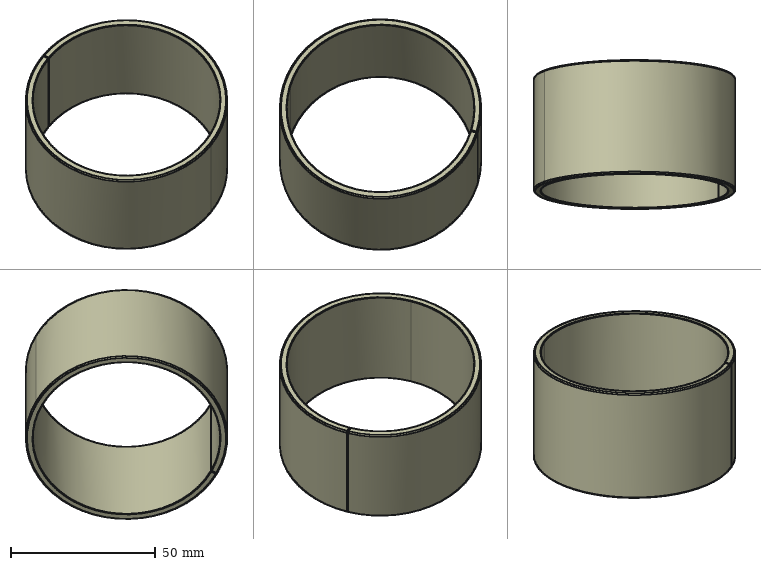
import cadquery as cq

outer_diameter = 70.0
wall_thickness = 2.5
height = 40.0
outer_chamfer = 0.5
inner_chamfer = 0.2
slit_width = 0.5

outer_radius = outer_diameter / 2
inner_radius = outer_radius - wall_thickness


def make_sleeve():
    """Plain cylinder with both rims chamfered, bored through and its bore edges eased."""
    body = cq.Workplane("XY").circle(outer_radius).extrude(height)
    body = body.edges("%CIRCLE").chamfer(outer_chamfer)
    body = body.cut(cq.Workplane("XY").circle(inner_radius).extrude(height))
    bore_edges = body.edges(cq.selectors.RadiusNthSelector(0))
    return bore_edges.chamfer(inner_chamfer)


def make_slit():
    """Full-height cutter through the -X wall, with one face on the XZ plane and the other at +Y."""
    return cq.Workplane("XY").box(
        outer_diameter, slit_width, height, centered=(True, True, False)
    ).translate((-outer_radius, slit_width / 2, 0))


result = make_sleeve().cut(make_slit())